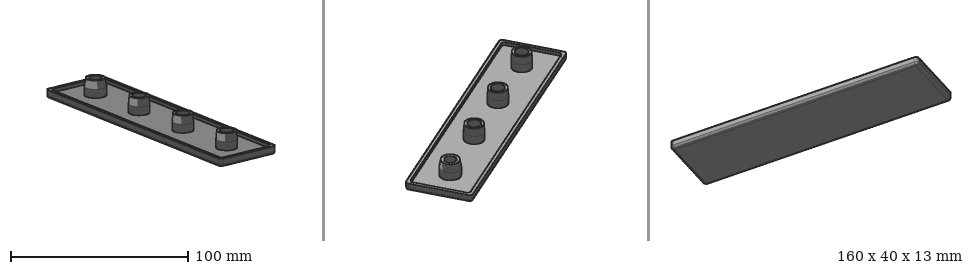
import cadquery as cq

length = 160.0
width = 40.0
tray_height = 5.0
corner_radius = 2.0
bottom_edge_radius = 2.0
rim_width = 2.0
inner_corner_radius = 2.0
floor_thickness = 2.9

total_height = 13.0
tip_height = 4.8
post_count = 4
post_pitch = length / post_count
end_post_base_diameter = 12.6
end_post_tip_diameter = 10.9
end_post_bore_diameter = 7.0
post_base_diameter = 12.0
post_tip_diameter = 11.2
post_bore_diameter = 8.0


def make_tray():
    """Shallow rectangular tray with rounded corners and a rounded lower edge."""
    body = cq.Workplane("XY").box(length, width, tray_height, centered=(True, True, False))
    body = body.edges("|Z").fillet(corner_radius)
    body = body.faces("<Z").edges().fillet(bottom_edge_radius)
    recess = (
        cq.Workplane("XY", origin=(0, 0, floor_thickness))
        .rect(length - 2 * rim_width, width - 2 * rim_width)
        .extrude(tray_height - floor_thickness)
        .edges("|Z")
        .fillet(inner_corner_radius)
    )
    return body.cut(recess)


def make_post(x, base_diameter, tip_diameter, bore_diameter):
    """Hollow post standing on the tray floor, with its bore ending at the floor."""
    base_radius = base_diameter / 2
    tip_radius = tip_diameter / 2
    bore_radius = bore_diameter / 2
    profile = [
        (bore_radius, floor_thickness),
        (base_radius, floor_thickness),
        (base_radius, total_height - tip_height),
        (tip_radius, total_height),
        (bore_radius, total_height),
    ]
    post = cq.Workplane("XZ").polyline(profile).close().revolve(360, (0, 0, 0), (0, 1, 0))
    return post.translate((x, 0, 0))


result = make_tray()
for index in range(post_count):
    post_x = (index - (post_count - 1) / 2) * post_pitch
    if index == 0:
        post = make_post(post_x, end_post_base_diameter, end_post_tip_diameter, end_post_bore_diameter)
    else:
        post = make_post(post_x, post_base_diameter, post_tip_diameter, post_bore_diameter)
    result = result.union(post)